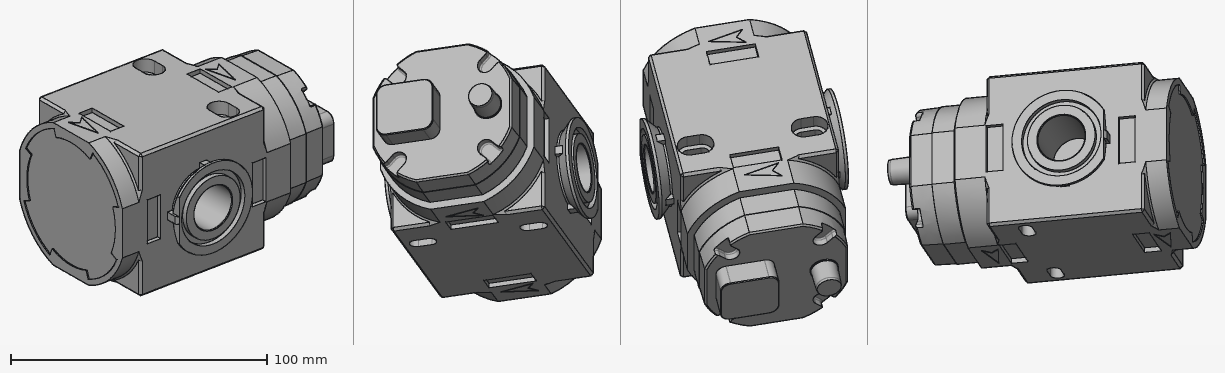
import cadquery as cq
import math

body_side = 63.1
half_side = body_side / 2
body_length = 85.2
collar_radius = 33.4
front_collar_length = 8.3
back_collar_length = 12.0
block_inset = 0.7
block_chamfer = 1.09
cone_depth = block_inset + block_chamfer
cone_growth = 2.0

recess_radius = 27.2
lobe_radius = 30.9
lobe_span = 45.0
lobe_angle = 132.3
recess_depth = 0.6

neck_radius = 26.3
neck_length = 1.0
ring_half_side = 29.0
ring_radius = 31.0
ring_length = 8.9
cover_half_side = 28.8
cover_radius = 30.7
cover_taper = 2.0
cover_top_chamfer = 0.7
cover_length = 9.3
neck_end = body_length + neck_length
ring_end = neck_end + ring_length
cover_end = ring_end + cover_length

notch_reach = 25.4
notch_width = 6.6
notch_mouth_radius = 2.2
notch_depth = 3.2
notch_floor_fillet = 0.6

total_length = 114.3
connector_x = 12.5
connector_width = 23.3
connector_height = 22.0
connector_corner = 4.0
connector_chamfer = 0.3
connector_end = 113.4
plug_x = -19.0
plug_foot_radius = 5.6
plug_foot_length = 0.6
plug_base_radius = 5.4
plug_shoulder_radius = 5.0
plug_tip_radius = 4.8
plug_tip_length = 1.0

port_y = 40.8
port_span = 75.5
port_face_x = port_span / 2
port_rim_radius = 19.9
port_rim_thickness = 1.3
port_neck_radius = 15.8
port_flat_offset = 17.0
groove_outer_radius = 16.0
groove_inner_radius = 13.6
groove_depth = 2.3
bore_radius = 9.8
bore_chamfer = 0.3
bore_depth = 25.1
tab_width = 3.4
tab_reach = 18.1
tab_bevel_length = 1.6

pocket_length = 19.4
pocket_width = 6.7
pocket_depth = 2.0
back_pocket_y = 69.3
back_pocket_shift = 0.9
front_pocket_y = 16.0
front_pocket_shift = -0.8

arrow_length = 14.2
arrow_width = 6.6
arrow_notch = 3.1
arrow_height = 0.2
arrow_positions = (7.9, 77.3)

slot_x = 22.7
slot_y = 58.3
slot_length = 11.0
slot_width = 5.5
slot_pocket_length = 14.4
slot_pocket_width = 9.4
slot_pocket_depth = 5.8


def plane_at(y):
    """Workplane facing +Y, with local x along -X and local y along +Z."""
    return cq.Workplane(cq.Plane((0, y, 0), xDir=(-1, 0, 0), normal=(0, 1, 0)))


def cone(start_y, start_radius, end_y, end_radius):
    solid = cq.Solid.makeCone(
        start_radius, end_radius, end_y - start_y, cq.Vector(0, start_y, 0), cq.Vector(0, 1, 0)
    )
    return cq.Workplane(solid)


def flattened_disc(y, length, radius, half_width, taper=0):
    """Disc along Y trimmed by a square, leaving four flats."""
    disc = plane_at(y).circle(radius).extrude(length, taper=taper)
    square = plane_at(y).rect(2 * half_width, 2 * half_width).extrude(length, taper=taper)
    return disc.intersect(square)


def housing():
    block_start = front_collar_length + block_inset
    block_end = body_length - back_collar_length - block_inset
    block = plane_at(block_start).rect(body_side, body_side).extrude(block_end - block_start)
    block = block.edges().chamfer(block_chamfer)
    front_cone = cone(
        front_collar_length, collar_radius,
        front_collar_length + cone_depth, collar_radius + cone_growth,
    )
    back_collar_start = body_length - back_collar_length
    back_cone = cone(
        back_collar_start - cone_depth, collar_radius + cone_growth,
        back_collar_start, collar_radius,
    )
    square = plane_at(0).rect(body_side, body_side).extrude(body_length)
    core = plane_at(0).circle(collar_radius).extrude(body_length)
    core = core.union(front_cone).union(back_cone).intersect(square)
    return core.union(block)


def front_recess():
    recess = plane_at(0).circle(recess_radius).extrude(recess_depth)
    half_span = math.radians(lobe_span / 2)
    for quarter in range(4):
        middle = math.radians(lobe_angle + 90 * quarter)
        first, last = middle - half_span, middle + half_span
        lobe = (
            cq.Workplane("XZ")
            .lineTo(lobe_radius * math.cos(first), lobe_radius * math.sin(first))
            .threePointArc(
                (lobe_radius * math.cos(middle), lobe_radius * math.sin(middle)),
                (lobe_radius * math.cos(last), lobe_radius * math.sin(last)),
            )
            .close()
            .extrude(-recess_depth)
        )
        recess = recess.union(lobe)
    return recess


def cover_notch(angle):
    """Radial notch with a round inner end and a mouth flared by two convex arcs."""
    half = notch_width / 2
    flare = half + notch_mouth_radius
    mouth_end = cover_radius
    mouth_start = mouth_end - notch_mouth_radius
    arc_step = notch_mouth_radius * math.sqrt(0.5)
    notch = (
        plane_at(cover_end)
        .moveTo(notch_reach, half)
        .lineTo(mouth_start, half)
        .threePointArc((mouth_start + arc_step, flare - arc_step), (mouth_end, flare))
        .lineTo(mouth_end + half, flare)
        .lineTo(mouth_end + half, -flare)
        .lineTo(mouth_end, -flare)
        .threePointArc((mouth_start + arc_step, arc_step - flare), (mouth_start, -half))
        .lineTo(notch_reach, -half)
        .threePointArc((notch_reach - half, 0), (notch_reach, half))
        .close()
        .extrude(-notch_depth)
    )
    notch = notch.faces("<Y").edges().fillet(notch_floor_fillet)
    return notch.rotate((0, 0, 0), (0, 1, 0), angle)


def rear_cover():
    neck = plane_at(body_length).circle(neck_radius).extrude(neck_length)
    ring = flattened_disc(neck_end, ring_length, ring_radius, ring_half_side)
    cover = flattened_disc(ring_end, cover_length, cover_radius, cover_half_side, cover_taper)
    cover = cover.faces(">Y").chamfer(cover_top_chamfer)
    for corner in range(4):
        cover = cover.cut(cover_notch(45 + 90 * corner))
    return neck.union(ring).union(cover)


def connector():
    block = (
        plane_at(cover_end)
        .center(-connector_x, 0)
        .rect(connector_width, connector_height)
        .extrude(connector_end - cover_end)
    )
    return block.edges("|Y").fillet(connector_corner).faces(">Y").chamfer(connector_chamfer)


def plug():
    """Slightly tapered round plug with a wider foot and a bevelled tip."""
    foot_end = cover_end + plug_foot_length
    shoulder = total_length - plug_tip_length
    foot = plane_at(cover_end).circle(plug_foot_radius).extrude(plug_foot_length)
    stem = cone(foot_end, plug_base_radius, shoulder, plug_shoulder_radius)
    tip = cone(shoulder, plug_shoulder_radius, total_length, plug_tip_radius)
    return foot.union(stem).union(tip).translate((plug_x, 0, 0))


def port_flange():
    """Flange on the -X side: rim, 45 degree cone and neck, with a flat towards -Y and four tabs."""
    rim_x = port_face_x - port_rim_thickness
    cone_end_x = rim_x - (port_rim_radius - port_neck_radius)
    flange = (
        cq.Workplane("XY")
        .polyline([
            (-port_face_x, 0),
            (-port_face_x, port_rim_radius),
            (-rim_x, port_rim_radius),
            (-cone_end_x, port_neck_radius),
            (-half_side, port_neck_radius),
            (-half_side, 0),
        ])
        .close()
        .revolve(360, (0, 0, 0), (1, 0, 0))
    )
    keep = cq.Workplane("XY").box(2 * port_span, 2 * port_rim_radius, 2 * port_rim_radius)
    flange = flange.intersect(keep.translate((0, port_rim_radius - port_flat_offset, 0)))
    tab = (
        cq.Workplane("XY")
        .moveTo(-half_side, 0)
        .lineTo(-port_face_x, 0)
        .lineTo(-port_face_x, -port_flat_offset)
        .lineTo(tab_bevel_length - port_face_x, -tab_reach)
        .lineTo(-half_side, -tab_reach)
        .close()
        .extrude(tab_width / 2, both=True)
    )
    for quarter in range(4):
        flange = flange.union(tab.rotate((0, 0, 0), (1, 0, 0), 90 * quarter))
    return flange.translate((0, port_y, 0))


def port_cutter():
    """Ring groove and blind bore with a bevelled mouth, entering from the -X side."""
    face = cq.Workplane("YZ", origin=(-port_face_x, port_y, 0))
    groove = face.circle(groove_outer_radius).circle(groove_inner_radius).extrude(groove_depth)
    bore = face.circle(bore_radius - bore_chamfer).extrude(bore_depth)
    mouth = cq.Workplane(cq.Solid.makeCone(
        bore_radius, bore_radius - bore_chamfer, bore_chamfer,
        cq.Vector(-port_face_x, port_y, 0), cq.Vector(1, 0, 0),
    ))
    return groove.union(bore).union(mouth)


def face_pockets():
    """Two offset pockets in the top face, repeated on all four long faces."""
    pockets = cq.Workplane("XY")
    for y, shift in ((back_pocket_y, back_pocket_shift), (front_pocket_y, front_pocket_shift)):
        pocket = (
            cq.Workplane("XY", origin=(shift, y, half_side))
            .rect(pocket_length, pocket_width)
            .extrude(-pocket_depth)
        )
        for quarter in range(4):
            pockets = pockets.add(pocket.rotate((0, 0, 0), (0, 1, 0), 90 * quarter))
    return pockets.combine()


def arrows():
    """Flow arrows pointing to +X, standing proud of the top and bottom faces."""
    tail = -arrow_length / 2
    tip = arrow_length / 2
    height = body_side + 2 * arrow_height
    shape = cq.Workplane("XY")
    for y in arrow_positions:
        shape = shape.add(
            cq.Workplane("XY", origin=(0, y, -height / 2))
            .polyline([
                (tip, 0),
                (tail, arrow_width / 2),
                (tail + arrow_notch, 0),
                (tail, -arrow_width / 2),
            ])
            .close()
            .extrude(height)
        )
    return shape.combine()


def mounting_slots():
    """Through slots along Z with a wider pocket at the top."""
    centres = [(-slot_x, slot_y), (slot_x, slot_y)]
    through = (
        cq.Workplane("XY", origin=(0, 0, -half_side))
        .pushPoints(centres)
        .slot2D(slot_length, slot_width)
        .extrude(body_side)
    )
    pocket = (
        cq.Workplane("XY", origin=(0, 0, half_side))
        .pushPoints(centres)
        .slot2D(slot_pocket_length, slot_pocket_width)
        .extrude(-slot_pocket_depth)
    )
    return through.union(pocket)


result = housing().union(arrows())
result = result.union(rear_cover()).union(connector()).union(plug())

flange = port_flange()
result = result.union(flange).union(flange.mirror("YZ"))

cutter = port_cutter()
result = result.cut(cutter).cut(cutter.mirror("YZ"))
result = result.cut(front_recess()).cut(face_pockets()).cut(mounting_slots())